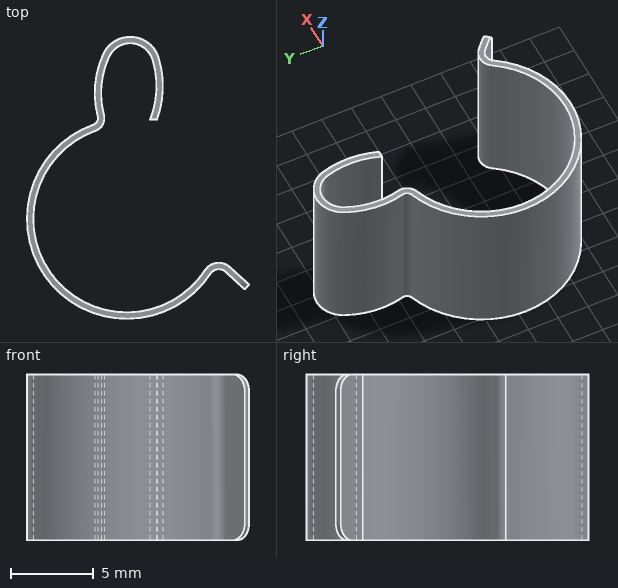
import cadquery as cq
import math

length_x = 13.4
length_y = 17.01
height = 10.0

ring_outer_diameter = 12.06
ring_inner_diameter = 11.26
wall = (ring_outer_diameter - ring_inner_diameter) / 2
half_wall = wall / 2
ring_radius = ring_outer_diameter / 2 - half_wall
ring_end_angle = -33.3

lip_bend_radius = 0.8
lip_bend_angle = 99.1
lip_corner_radius = 1.0

loop_top_x = 0.2
loop_top_radius = 1.6
loop_left_radius = 5.41
loop_left_angle = 155.3
loop_right_radius = 5.66
loop_right_angle = 16.9
loop_right_sweep = 55.0
neck_radius = 0.61
free_end_y = 5.99

CLOCKWISE = 1
COUNTERCLOCKWISE = -1


def polar(center, radius, angle):
    """Point at the given distance and angle (degrees) from a center."""
    a = math.radians(angle)
    return (center[0] + radius * math.cos(a), center[1] + radius * math.sin(a))


def direction(start, end):
    """Angle in degrees of the line from start to end."""
    return math.degrees(math.atan2(end[1] - start[1], end[0] - start[0]))


def corner_of_triangle(base_start, base_end, start_side, end_side):
    """Third corner, left of the base, of a triangle with the given sides."""
    base = math.dist(base_start, base_end)
    cosine = (start_side**2 + base**2 - end_side**2) / (2 * start_side * base)
    turn = math.degrees(math.acos(cosine))
    return polar(base_start, start_side, direction(base_start, base_end) + turn)


ring_center = (0.0, 0.0)
loop_top_y = length_y - ring_outer_diameter / 2
top_center = (loop_top_x, loop_top_y - half_wall - loop_top_radius)
left_center = polar(top_center, loop_top_radius - loop_left_radius, loop_left_angle)
right_center = polar(top_center, loop_top_radius - loop_right_radius, loop_right_angle)
neck_center = corner_of_triangle(
    ring_center, left_center, ring_radius + neck_radius, loop_left_radius + neck_radius
)
lip_bend_center = polar(ring_center, ring_radius + lip_bend_radius, ring_end_angle)

lip_bend_end = ring_end_angle + 180
lip_bend_start = lip_bend_end - lip_bend_angle
lip_direction = lip_bend_start - 90
neck_on_ring = direction(ring_center, neck_center)
neck_on_loop = direction(neck_center, left_center)

tip_x = length_x - ring_outer_diameter / 2
lip_start_x = polar(lip_bend_center, lip_bend_radius + half_wall, lip_bend_start)[0]
lip_length = (tip_x - lip_start_x) / math.cos(math.radians(lip_direction))

bends = [
    (lip_bend_center, lip_bend_radius, lip_bend_start, lip_bend_end, COUNTERCLOCKWISE),
    (ring_center, ring_radius, ring_end_angle, neck_on_ring - 360, CLOCKWISE),
    (neck_center, neck_radius, neck_on_ring - 180, neck_on_loop, COUNTERCLOCKWISE),
    (left_center, loop_left_radius, neck_on_loop + 180, loop_left_angle, CLOCKWISE),
    (top_center, loop_top_radius, loop_left_angle, loop_right_angle, CLOCKWISE),
    (right_center, loop_right_radius, loop_right_angle, loop_right_angle - loop_right_sweep, CLOCKWISE),
]


def offset_arc(bend, offset):
    """Start, middle and end of a bend moved sideways, to the left if positive."""
    center, radius, start, end, sense = bend
    side_radius = radius + sense * offset
    return [polar(center, side_radius, a) for a in (start, (start + end) / 2, end)]


def strip_outline():
    """Closed outline of the bent strip: out along one side and back along the other."""
    left_side = [offset_arc(bend, half_wall) for bend in bends]
    right_side = [offset_arc(bend, -half_wall)[::-1] for bend in reversed(bends)]
    left_tip = polar(left_side[0][0], lip_length, lip_direction)
    right_tip = polar(right_side[-1][-1], lip_length, lip_direction)

    outline = cq.Workplane("XY").moveTo(*left_tip).lineTo(*left_side[0][0])
    for _, middle, end in left_side:
        outline = outline.threePointArc(middle, end)
    outline = outline.lineTo(*right_side[0][0])
    for _, middle, end in right_side:
        outline = outline.threePointArc(middle, end)
    return outline.lineTo(*right_tip).close()


def free_end_trim():
    """Block that removes the loop's right side below the level free end."""
    loop_bottom = polar(right_center, loop_right_radius, loop_right_angle - loop_right_sweep)
    trim_depth = free_end_y - loop_bottom[1] + wall
    trim_width = loop_top_radius + wall
    return (
        cq.Workplane("XY")
        .moveTo(top_center[0], free_end_y - trim_depth)
        .rect(trim_width, trim_depth, centered=False)
        .extrude(height)
    )


def round_lip_corners(body):
    """Round the two corners at the tip of the lip."""
    across_wall = cq.Vector(*polar((0.0, 0.0), 1.0, lip_bend_start))
    corners = cq.selectors.ParallelDirSelector(across_wall)
    return body.edges(corners).fillet(lip_corner_radius)


strip = strip_outline().extrude(height)
result = round_lip_corners(strip.cut(free_end_trim()))